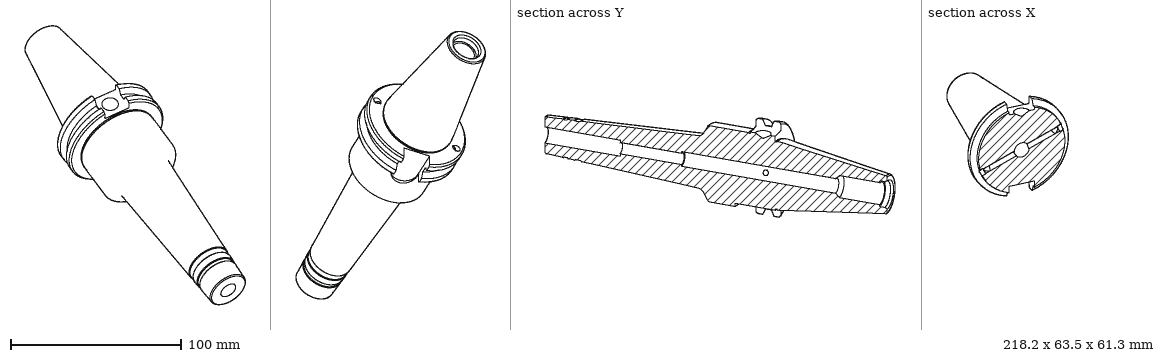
import cadquery as cq
import math

total_length = 218.2

taper_rate = 7 / 24
gauge_radius = 22.3
gauge_x = 68.3
nose_radius = gauge_radius - gauge_x * taper_rate / 2
nose_chamfer = 0.7
relief_start = 69.8
relief_radius = 21.8
relief_taper_length = 0.7

flange_start = 71.4
flange_end = 87.3
flange_radius = 63.5 / 2
flange_chamfer = 1.0
groove_center = (flange_start + flange_end) / 2
groove_floor_radius = 56.0 / 2
groove_floor_width = 3.7
groove_mouth_width = 7.2

neck_radius = 24.5
neck_length = 1.0
collar_radius = 49.5 / 2
collar_round = 1.7
shoulder_angle = 60.0
shoulder_root_round = 3.7

shank_start = 120.5
shank_angle = 3.0
tip_radius = 12.0
tip_chamfer = 0.7
ring_depth = 0.5
ring_wall = 0.5
ring_spans = [(195.0, 199.3), (203.6, 206.5)]

slot_width = 16.4
slot_corner_round = 0.7
upper_floor = 25.3
lower_floor = 22.7
lower_slot_overrun = 1.5

dimple_diameter = 9.5
dimple_angle = 120.0

face_port_diameter = 4.1
face_port_depth = 2.2
groove_port_diameter = 4.0
groove_port_depth = 2.6
port_core_diameter = 3.3
port_circle_radius = 27.0
port_slant = 30.0
port_lead_in = 4.4
port_angle = 20.0

mouth_diameter = 18.1
mouth_half_angle = 30.0
pilot_diameter = 16.4
pilot_depth = 4.8
thread_diameter = 14.0
thread_depth = 30.5
passage_diameter = 9.2
throat_diameter = 7.0
throat_start = 131.0
tool_bore_diameter = 10.0
tool_bore_depth = 48.0


def shank_radius(x):
    """Radius of the tapered shank at a position along the axis."""
    return tip_radius + (total_length - x) * math.tan(math.radians(shank_angle))


def revolve_profile(profile):
    """Close a half profile and turn it about the X axis."""
    return profile.close().revolve(360, (0, 0, 0), (1, 0, 0))


def make_body():
    """Solid of revolution: taper, grooved flange, collar and shank."""
    floor_half = groove_floor_width / 2
    mouth_half = groove_mouth_width / 2
    shoulder = math.radians(shoulder_angle)
    shank = math.radians(shank_angle)
    shoulder_end = shank_start - shoulder_root_round * (math.sin(shoulder) - math.sin(shank))
    shoulder_end_radius = (
        shank_radius(shank_start) + shoulder_root_round * (math.cos(shank) - math.cos(shoulder))
    )
    shoulder_start_radius = collar_radius - collar_round * (1 - math.cos(shoulder))
    shoulder_start = shoulder_end - (shoulder_start_radius - shoulder_end_radius) / math.tan(shoulder)
    collar_round_start = shoulder_start - collar_round * math.sin(shoulder)
    profile = (
        cq.Workplane("XY")
        .moveTo(0, 0)
        .lineTo(0, nose_radius - nose_chamfer)
        .lineTo(nose_chamfer, nose_radius + nose_chamfer * taper_rate / 2)
        .lineTo(gauge_x, gauge_radius)
        .lineTo(relief_start, gauge_radius)
        .lineTo(relief_start + relief_taper_length, relief_radius)
        .lineTo(flange_start, relief_radius)
        .lineTo(flange_start, flange_radius - flange_chamfer)
        .lineTo(flange_start + flange_chamfer, flange_radius)
        .lineTo(groove_center - mouth_half, flange_radius)
        .lineTo(groove_center - floor_half, groove_floor_radius)
        .lineTo(groove_center + floor_half, groove_floor_radius)
        .lineTo(groove_center + mouth_half, flange_radius)
        .lineTo(flange_end - flange_chamfer, flange_radius)
        .lineTo(flange_end, flange_radius - flange_chamfer)
        .lineTo(flange_end, neck_radius)
        .lineTo(flange_end + neck_length, neck_radius)
        .lineTo(flange_end + neck_length, collar_radius)
        .lineTo(collar_round_start, collar_radius)
        .tangentArcPoint((shoulder_start, shoulder_start_radius), relative=False)
        .lineTo(shoulder_end, shoulder_end_radius)
        .tangentArcPoint((shank_start, shank_radius(shank_start)), relative=False)
    )
    for start, end in ring_spans:
        profile = (
            profile.lineTo(start, shank_radius(start))
            .lineTo(start + ring_wall, shank_radius(start + ring_wall) - ring_depth)
            .lineTo(end - ring_wall, shank_radius(end - ring_wall) - ring_depth)
            .lineTo(end, shank_radius(end))
        )
    profile = (
        profile.lineTo(total_length - tip_chamfer, shank_radius(total_length - tip_chamfer))
        .lineTo(total_length, tip_radius - tip_chamfer)
        .lineTo(total_length, 0)
    )
    return revolve_profile(profile)


def make_bore():
    """Stepped through bore, from the threaded nose to the tool bore at the tip."""
    mouth_step = (mouth_diameter - pilot_diameter) / 2
    mouth_depth = mouth_step / math.tan(math.radians(mouth_half_angle))
    cone_length = (thread_diameter - passage_diameter) / 2
    tool_bore_start = total_length - tool_bore_depth
    profile = (
        cq.Workplane("XY")
        .moveTo(0, 0)
        .lineTo(0, mouth_diameter / 2)
        .lineTo(mouth_depth, pilot_diameter / 2)
        .lineTo(pilot_depth, pilot_diameter / 2)
        .lineTo(pilot_depth, thread_diameter / 2)
        .lineTo(thread_depth, thread_diameter / 2)
        .lineTo(thread_depth + cone_length, passage_diameter / 2)
        .lineTo(throat_start, passage_diameter / 2)
        .lineTo(throat_start, throat_diameter / 2)
        .lineTo(tool_bore_start, throat_diameter / 2)
        .lineTo(tool_bore_start, tool_bore_diameter / 2)
        .lineTo(total_length, tool_bore_diameter / 2)
        .lineTo(total_length, 0)
    )
    return revolve_profile(profile)


def make_upper_slot():
    """Shallow drive slot through the +Z side of the flange."""
    return (
        cq.Workplane("XY")
        .box(flange_end - flange_start, slot_width, flange_radius, centered=(False, True, False))
        .edges("|X and <Z").fillet(slot_corner_round)
        .translate((flange_start, 0, upper_floor))
    )


def make_lower_slot():
    """Deeper -Z drive slot that runs out in the collar with a rounded end."""
    length = flange_end + lower_slot_overrun - flange_start
    straight = cq.Workplane("XY").box(
        length, slot_width, flange_radius, centered=(False, True, False)
    ).translate((flange_start, 0, 0))
    round_end = (
        cq.Workplane("XY").center(flange_start + length, 0)
        .circle(slot_width / 2).extrude(flange_radius)
    )
    return straight.union(round_end).translate((0, 0, -lower_floor - flange_radius))


def make_dimple():
    """Conical dimple in the middle of the upper slot floor."""
    radius = dimple_diameter / 2
    depth = radius / math.tan(math.radians(dimple_angle / 2))
    center = cq.Vector(groove_center, 0, upper_floor)
    return cq.Workplane(cq.Solid.makeCone(radius, 0, depth, center, cq.Vector(0, 0, -1)))


def make_stepped_drill(entry, direction, mouth_size, mouth_depth, core_depth):
    """Drilling that starts outside the entry point, wide at its mouth and narrower below."""
    start = entry - direction * port_lead_in
    mouth = cq.Solid.makeCylinder(mouth_size / 2, port_lead_in + mouth_depth, start, direction)
    core = cq.Solid.makeCylinder(port_core_diameter / 2, port_lead_in + core_depth, start, direction)
    return cq.Workplane(mouth).union(cq.Workplane(core))


def make_port(angle):
    """Radial drilling from the groove to the bore, met by a slanted one from the flange face."""
    slant = math.radians(port_slant)
    slanted = make_stepped_drill(
        cq.Vector(flange_start, -port_circle_radius, 0),
        cq.Vector(math.cos(slant), math.sin(slant), 0),
        face_port_diameter,
        face_port_depth,
        (groove_center - flange_start) / math.cos(slant),
    )
    radial = make_stepped_drill(
        cq.Vector(groove_center, -groove_floor_radius, 0),
        cq.Vector(0, 1, 0),
        groove_port_diameter,
        groove_port_depth,
        groove_floor_radius,
    )
    return slanted.union(radial).rotate((0, 0, 0), (1, 0, 0), angle)


result = make_body()
for cutter in (make_bore(), make_upper_slot(), make_lower_slot(), make_dimple()):
    result = result.cut(cutter)
for angle in (port_angle, port_angle + 180):
    result = result.cut(make_port(angle))